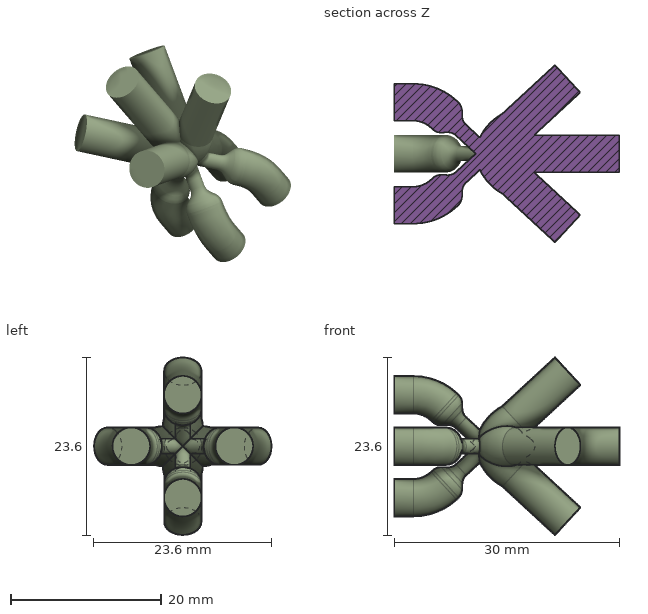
import cadquery as cq
import math

total_length = 30.0
spread_angle = 42.75
arm_count = 4

pipe_radius = 2.5
neck_radius = 1.0

inlet_offset = 6.85
inlet_straight = 2.55
elbow_radius = 6.0

reducer_lead = 1.0
reducer_fillet = 1.5

outlet_length = 14.7
swell_length = 5.15
swell_start_radius = 1.85
swell_middle_radius = 2.7
swell_middle_distance = 3.2

spread = math.radians(spread_angle)
elbow_run = elbow_radius * math.sin(spread)
elbow_drop = elbow_radius * (1 - math.cos(spread))
elbow_end_z = inlet_offset - elbow_drop
neck_axis_length = elbow_end_z / math.sin(spread)
elbow_end_x = -elbow_end_z / math.tan(spread)
elbow_start_x = elbow_end_x - elbow_run
inlet_x = elbow_start_x - inlet_straight
central_length = total_length + inlet_x

cone_angle = math.radians(45)
fillet_setback = reducer_fillet * math.tan(cone_angle / 2)
fillet_axial = reducer_fillet * math.sin(cone_angle)
fillet_radial = reducer_fillet * (1 - math.cos(cone_angle))
half_axial = reducer_fillet * math.sin(cone_angle / 2)
half_radial = reducer_fillet * (1 - math.cos(cone_angle / 2))


def around_x(body):
    """Return copies of a body spaced evenly around the X axis."""
    step = 360 / arm_count
    return [body.rotate((0, 0, 0), (1, 0, 0), i * step) for i in range(arm_count)]


def inlet_elbow():
    """Straight inlet and elbow, in the XZ plane above the hub."""
    middle = spread / 2
    path = (
        cq.Workplane("XZ")
        .moveTo(inlet_x, inlet_offset)
        .lineTo(elbow_start_x, inlet_offset)
        .threePointArc(
            (
                elbow_start_x + elbow_radius * math.sin(middle),
                inlet_offset - elbow_radius * (1 - math.cos(middle)),
            ),
            (elbow_end_x, elbow_end_z),
        )
    )
    section = cq.Workplane("YZ", origin=(inlet_x, 0, inlet_offset)).circle(pipe_radius)
    return section.sweep(path)


def reducer_and_neck():
    """Reducer and thin tube, turned about the neck axis and ending at the hub point."""
    cone_drop = pipe_radius - neck_radius
    cone_start = -neck_axis_length + reducer_lead
    cone_end = cone_start + cone_drop / math.tan(cone_angle)
    round_start = cone_start - fillet_setback
    hollow_end = cone_end + fillet_setback
    body = (
        cq.Workplane("XY")
        .moveTo(-neck_axis_length, 0)
        .lineTo(-neck_axis_length, pipe_radius)
        .lineTo(round_start, pipe_radius)
        .threePointArc(
            (round_start + half_axial, pipe_radius - half_radial),
            (round_start + fillet_axial, pipe_radius - fillet_radial),
        )
        .lineTo(hollow_end - fillet_axial, neck_radius + fillet_radial)
        .threePointArc(
            (hollow_end - half_axial, neck_radius + half_radial),
            (hollow_end, neck_radius),
        )
        .lineTo(0, neck_radius)
        .lineTo(0, 0)
        .close()
        .revolve(360, (0, 0, 0), (1, 0, 0))
    )
    return body.rotate((0, 0, 0), (0, 1, 0), spread_angle)


def slanted_outlet():
    """Outlet tube with a swollen root, turned about its axis and starting at the hub point."""
    body = (
        cq.Workplane("XY")
        .lineTo(0, swell_start_radius)
        .threePointArc((swell_middle_distance, swell_middle_radius), (swell_length, pipe_radius))
        .lineTo(outlet_length, pipe_radius)
        .lineTo(outlet_length, 0)
        .close()
        .revolve(360, (0, 0, 0), (1, 0, 0))
    )
    return body.rotate((0, 0, 0), (0, 1, 0), -spread_angle)


result = cq.Workplane("YZ").circle(pipe_radius).extrude(central_length)
for make_tube in (slanted_outlet, reducer_and_neck, inlet_elbow):
    for tube in around_x(make_tube()):
        result = result.union(tube)